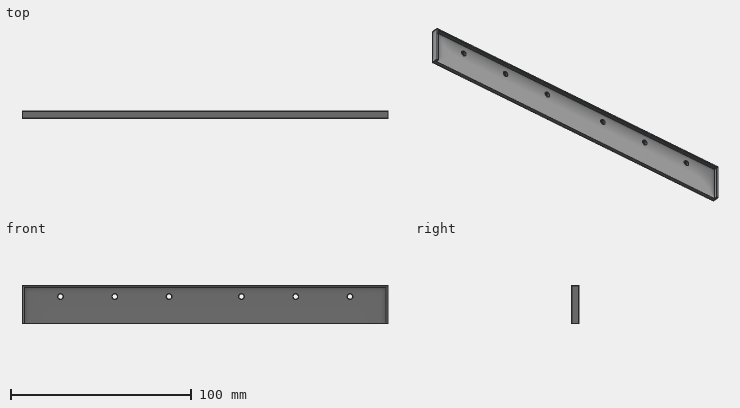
import cadquery as cq

panel_length = 200.0
panel_height = 20.0
rim_width = 1.0
depth = 4.0
recess_depth = 2.0

hole_diameter = 3.0
hole_drop = 5.0
hole_offsets = (20.0, 50.0, 80.0)

length = panel_length + 2 * rim_width
height = panel_height + rim_width


def make_block():
    """Full outer block, centred on X, with its front face at Y = 0 and its base at Z = 0."""
    return cq.Workplane("XY").box(length, depth, height, centered=(True, False, False))


def make_recess():
    """Volume removed from the front, leaving the rim and the thin panel behind it."""
    return cq.Workplane("XY").box(
        panel_length, recess_depth, panel_height, centered=(True, False, False)
    )


def make_holes():
    """Row of cylinders through the panel, mirrored about its middle."""
    hole_z = panel_height - hole_drop
    centres = [(side * offset, hole_z) for offset in hole_offsets for side in (-1, 1)]
    return cq.Workplane("XZ").pushPoints(centres).circle(hole_diameter / 2).extrude(-depth)


result = make_block().cut(make_recess()).cut(make_holes())